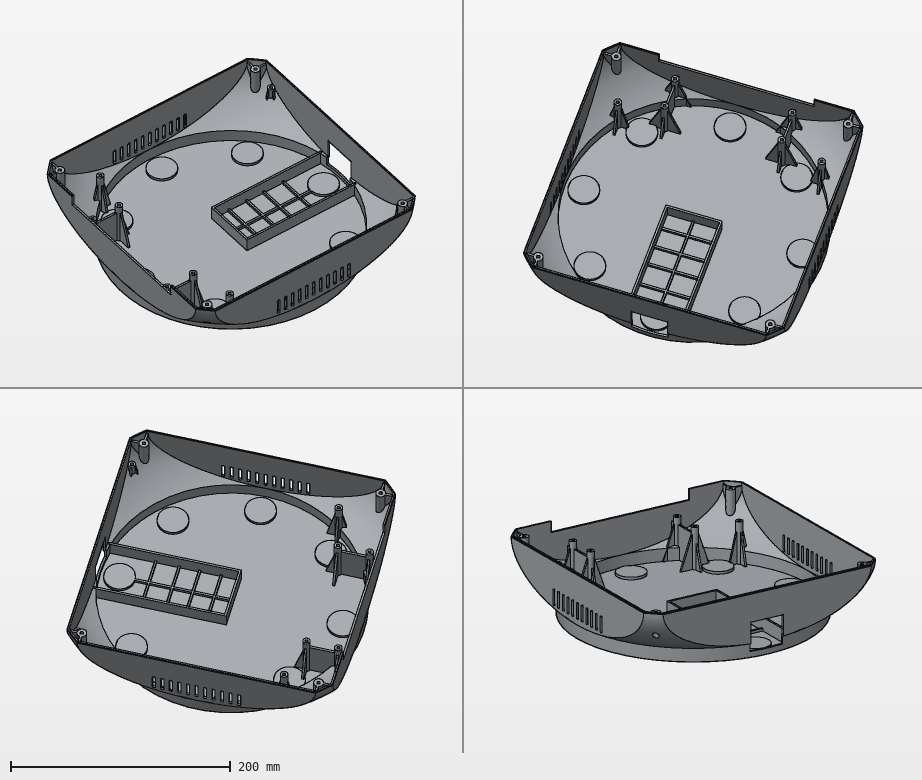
import cadquery as cq
import math

side = 250.0
height = 63.4
wall = 2.0
floor_top = 2.0
base_height = 13.4
base_radius = side / 2
dome_radius = 168.0
dome_height = height - base_height
dome_semi_axis = dome_height / math.sqrt(1 - (base_radius / dome_radius) ** 2)
rim_step_width = 0.5
rim_step_height = 1.0

notch_width = 149.0
notch_depth = 11.0
port_width = 35.0
port_bottom = 6.0
port_top = 35.0
port_cut_depth = 10.0
vent_count = 11
vent_pitch = 8.0
vent_width = 3.0
vent_bottom = 19.2
vent_top = 35.4

pad_count = 8
pad_diameter = 29.0
pad_circle_radius = 105.0
pad_top = 4.6

frame_width = 54.0
frame_wall = 2.0
frame_front = -2.4
frame_back = 122.0
frame_top = 15.4
divider_top = 4.6
divider_width = 2.0
divider_positions = (15.9, 36.2, 55.4, 77.6)
spine_width = 2.0
spine_back = 91.0

boss_offset = 111.3
boss_diameter = 9.0
boss_top = height - 3.0
screw_hole_diameter = 3.0
screw_head_diameter = 6.0
screw_seat_height = boss_top - 10.0

post_diameter = 6.8
post_radius = post_diameter / 2
post_top = 43.4
pilot_diameter = 2.8
pilot_depth = 6.0
inner_post_x = 56.2
inner_post_y = -85.5
outer_post_y = -115.4
side_post_x = 97.8
side_post_y = -75.4
back_post_y = 119.0

web = 2.0
link_top = 36.0
wide_gusset_reach = 15.5
wide_gusset_head = 36.0
side_gusset_reach = 11.0
side_gusset_head = 33.0
inner_back_gusset_reach = 11.0
inner_back_gusset_head = 27.0
back_gusset_reach = 8.0
back_gusset_head = 41.0
back_gusset_foot = 22.0
right, back, left, front = 0, 90, 180, 270


def block(x_min, x_max, y_min, y_max, z_min, z_max):
    """Box given by its limits on each axis."""
    size = (x_max - x_min, y_max - y_min, z_max - z_min)
    return cq.Workplane("XY").box(*size, centered=False).translate((x_min, y_min, z_min))


def cylinder(x, y, diameter, z_min, z_max):
    """Upright cylinder."""
    return cq.Workplane("XY", origin=(x, y, z_min)).circle(diameter / 2).extrude(z_max - z_min)


def dome(bottom, drum_radius, equator_radius, semi_axis, half_side):
    """Drum that widens into an elliptical dome, trimmed to a square."""
    drum_top = height - semi_axis * math.sqrt(1 - (drum_radius / equator_radius) ** 2)
    drum = cylinder(0, 0, 2 * drum_radius, bottom, height)
    ellipsoid = (
        cq.Workplane("XZ")
        .moveTo(0, height - semi_axis)
        .ellipseArc(equator_radius, semi_axis, -90, 0, startAtCurrent=True)
        .lineTo(0, height)
        .close()
        .revolve(360, (0, 0, 0), (0, 1, 0))
    )
    bowl = ellipsoid.intersect(block(-side, side, -side, side, drum_top, height))
    square = block(-half_side, half_side, -half_side, half_side, bottom, height)
    return bowl.union(drum).intersect(square)


def rim_step():
    """Strip taken off the outside of the rim, all the way round."""
    bottom = height - rim_step_height
    strip = block(-side, side, -side, side, bottom, height)
    kept_half = side / 2 - rim_step_width
    kept_square = block(-kept_half, kept_half, -kept_half, kept_half, bottom, height)
    kept_disc = cylinder(0, 0, 2 * (dome_radius - rim_step_width), bottom, height)
    return strip.cut(kept_square.intersect(kept_disc))


def front_notch():
    """Lowered stretch of the front wall."""
    half = notch_width / 2
    return block(-half, half, -side / 2, -side / 2 + wall, height - notch_depth, height)


def back_port():
    """Rectangular opening through the back wall."""
    half = port_width / 2
    return block(-half, half, side / 2 - port_cut_depth, side / 2, port_bottom, port_top)


def vents():
    """Rows of upright slots through the left and right walls only."""
    slot_length = vent_top - vent_bottom
    middle = (vent_top + vent_bottom) / 2
    plane = cq.Workplane("YZ", origin=(-side / 2, 0, middle))
    slots = plane.rarray(vent_pitch, 1, vent_count, 1).slot2D(slot_length, vent_width, 90).extrude(side)
    inner_half = side / 2 - wall
    return slots.cut(block(-inner_half, inner_half, -side / 2, side / 2, 0, height))


def pads():
    """Ring of round pads on the floor."""
    plane = cq.Workplane("XY", origin=(0, 0, floor_top))
    centres = plane.polarArray(pad_circle_radius, 0, 360, pad_count)
    return centres.circle(pad_diameter / 2).extrude(pad_top - floor_top)


def compartment():
    """Three-sided frame against the back wall, with low dividers and a spine."""
    half = frame_width / 2
    inner_half = half - frame_wall
    inner_front = frame_front + frame_wall
    half_divider = divider_width / 2
    half_spine = spine_width / 2
    frame = block(-half, half, frame_front, frame_back, floor_top, frame_top)
    frame = frame.cut(block(-inner_half, inner_half, inner_front, frame_back, floor_top, frame_top))
    for y in divider_positions:
        divider = block(-inner_half, inner_half, y - half_divider, y + half_divider, floor_top, divider_top)
        frame = frame.union(divider)
    return frame.union(block(-half_spine, half_spine, inner_front, spine_back, floor_top, divider_top))


def corner_boss(x_sign, y_sign):
    """Screw boss tied to both neighbouring walls by webs."""
    x = x_sign * boss_offset
    y = y_sign * boss_offset
    boss = cylinder(x, y, boss_diameter, floor_top, boss_top)
    reach = side / 2 - boss_offset
    web_height = boss_top - floor_top
    web_z = floor_top + web_height / 2
    x_web = cq.Workplane("XY").box(reach, web, web_height).translate((x + x_sign * reach / 2, y, web_z))
    y_web = cq.Workplane("XY").box(web, reach, web_height).translate((x, y + y_sign * reach / 2, web_z))
    return boss.union(x_web).union(y_web)


def corner_screw_hole(x_sign, y_sign):
    """Screw hole through a corner boss, with a head recess from below."""
    x = x_sign * boss_offset
    y = y_sign * boss_offset
    shaft = cylinder(x, y, screw_hole_diameter, 0, boss_top)
    return shaft.union(cylinder(x, y, screw_head_diameter, 0, screw_seat_height))


def gusset(x, y, direction, reach, head, foot=floor_top):
    """Sloping web from height `head` on the post down to `foot` at distance `reach`."""
    profile = [(0, foot), (reach, foot), (post_radius, head), (0, head)]
    plate = cq.Workplane("XZ").polyline(profile).close().extrude(web / 2, both=True)
    return plate.rotate((0, 0, 0), (0, 0, 1), direction).translate((x, y, 0))


def post(x, y):
    """Plain standoff post."""
    return cylinder(x, y, post_diameter, floor_top, post_top)


def standoffs(x_sign):
    """The four braced posts on one side of the housing."""
    inner_x = x_sign * inner_post_x
    side_x = x_sign * side_post_x
    half_web = web / 2
    parts = post(inner_x, inner_post_y).union(post(inner_x, outer_post_y))
    link = block(inner_x - half_web, inner_x + half_web, -side / 2, inner_post_y, floor_top, link_top)
    parts = parts.union(link)
    for direction in (right, left):
        for y in (inner_post_y, outer_post_y):
            parts = parts.union(gusset(inner_x, y, direction, wide_gusset_reach, wide_gusset_head))
    parts = parts.union(
        gusset(inner_x, inner_post_y, back, inner_back_gusset_reach, inner_back_gusset_head)
    )
    parts = parts.union(post(side_x, side_post_y)).union(post(side_x, back_post_y))
    for direction in (right, back, left, front):
        parts = parts.union(gusset(side_x, side_post_y, direction, side_gusset_reach, side_gusset_head))
        parts = parts.union(
            gusset(side_x, back_post_y, direction, back_gusset_reach, back_gusset_head, back_gusset_foot)
        )
    return parts


def pilot_holes(x_sign):
    """Blind holes in the tops of the four posts on one side."""
    places = [
        (inner_post_x, inner_post_y),
        (inner_post_x, outer_post_y),
        (side_post_x, side_post_y),
        (side_post_x, back_post_y),
    ]
    points = [(x_sign * x, y) for x, y in places]
    bottom = cq.Workplane("XY", origin=(0, 0, post_top - pilot_depth))
    return bottom.pushPoints(points).circle(pilot_diameter / 2).extrude(pilot_depth)


outer = dome(0, base_radius, dome_radius, dome_semi_axis, side / 2)
cavity = dome(floor_top, base_radius - wall, dome_radius - wall, dome_semi_axis - wall, side / 2 - wall)

fittings = pads().union(compartment())
for x_sign in (-1, 1):
    fittings = fittings.union(standoffs(x_sign))
    for y_sign in (-1, 1):
        fittings = fittings.union(corner_boss(x_sign, y_sign))

result = outer.cut(cavity).union(fittings.intersect(outer))
result = result.cut(rim_step()).cut(front_notch()).cut(back_port()).cut(vents())
for x_sign in (-1, 1):
    result = result.cut(pilot_holes(x_sign))
    for y_sign in (-1, 1):
        result = result.cut(corner_screw_hole(x_sign, y_sign))